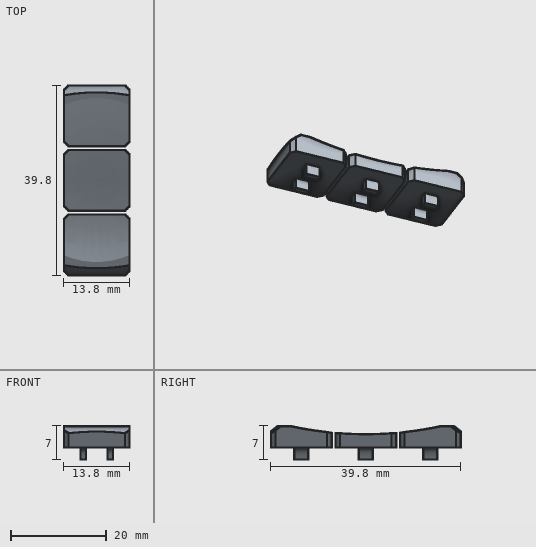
import cadquery as cq
import math

row_length = 39.75
cap_width = 13.75
cap_depth = 12.75
cap_height = 4.5
corner_chamfer = 1.0
cap_pitch = (row_length - cap_depth) / 2

leg_width = 1.2
leg_depth = 3.0
leg_length = 2.5
leg_spacing = 5.65

dish_radius = 75.0
dish_bottom = 2.5

bevel_height = 1.15
bevel_run = 1.47
crown_radius = 63.6
bevel_angle = math.degrees(math.atan2(bevel_height, bevel_run))
crown_length = row_length


def cap_block(center_y):
    """Full-height cap with chamfered vertical corners."""
    return (
        cq.Workplane("XY")
        .center(0, center_y)
        .rect(cap_width, cap_depth)
        .extrude(cap_height)
        .edges("|Z")
        .chamfer(corner_chamfer)
    )


def dish():
    """Sphere that leaves the concave top surface."""
    return cq.Workplane("XY", origin=(0, 0, dish_bottom + dish_radius)).sphere(dish_radius)


def legs(center_y):
    """Pair of legs hanging from the underside of a cap."""
    return (
        cq.Workplane("XY")
        .center(0, center_y)
        .rarray(leg_spacing, 0.4, 2, 1)
        .rect(leg_width, leg_depth)
        .extrude(-leg_length)
    )


def crown():
    """Sloping cylinder whose top line is the bevel of the cap at the +Y end."""
    return (
        cq.Workplane("XZ")
        .center(0, -crown_radius)
        .circle(crown_radius)
        .extrude(crown_length / 2, both=True)
        .rotate((0, 0, 0), (1, 0, 0), -bevel_angle)
        .translate((0, row_length / 2, cap_height - bevel_height))
    )


def middle_cap():
    """Cap whose whole top lies within the dish."""
    return cap_block(0).cut(dish()).union(legs(0))


def end_cap():
    """Cap at the +Y end of the row."""
    return cap_block(cap_pitch).cut(dish()).intersect(crown()).union(legs(cap_pitch))


end_caps = [end_cap().rotate((0, 0, 0), (0, 0, 1), turn) for turn in (0, 180)]

result = cq.Compound.makeCompound([middle_cap().val(), *[cap.val() for cap in end_caps]])